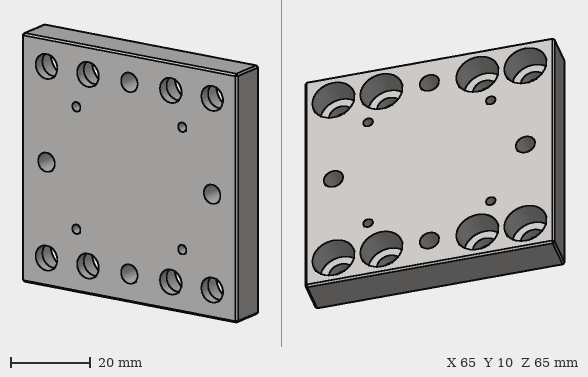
import cadquery as cq

side = 65.0
thickness = 10.0
edge_chamfer = 0.5

row_offset = 25.0
column_pitch = row_offset / 2
bolt_diameter = 6.5
counterbore_diameter = 11.0
counterbore_depth = 7.0
middle_diameter = 5.0
small_diameter = 2.5
small_offset = 16.0


def through_holes(diameter, centres):
    """Cylinders that cut through the plate at the given (x, z) centres."""
    return (
        cq.Workplane("XZ")
        .pushPoints(centres)
        .circle(diameter / 2)
        .extrude(thickness, both=True)
    )


def counterbores(centres):
    """Cylinders that widen the holes at the given (x, z) centres from the +Y face."""
    return (
        cq.Workplane("XZ", origin=(0, thickness / 2, 0))
        .pushPoints(centres)
        .circle(counterbore_diameter / 2)
        .extrude(counterbore_depth)
    )


plate = cq.Workplane("XY").box(side, thickness, side).edges().chamfer(edge_chamfer)

bolt_columns = [-2 * column_pitch, -column_pitch, column_pitch, 2 * column_pitch]
bolt_centres = [(x, z) for x in bolt_columns for z in (-row_offset, row_offset)]
middle_centres = [(-row_offset, 0), (row_offset, 0), (0, -row_offset), (0, row_offset)]
small_centres = [
    (x, z)
    for x in (-small_offset, small_offset)
    for z in (-small_offset, small_offset)
]

result = (
    plate
    .cut(through_holes(bolt_diameter, bolt_centres))
    .cut(counterbores(bolt_centres))
    .cut(through_holes(middle_diameter, middle_centres))
    .cut(through_holes(small_diameter, small_centres))
)